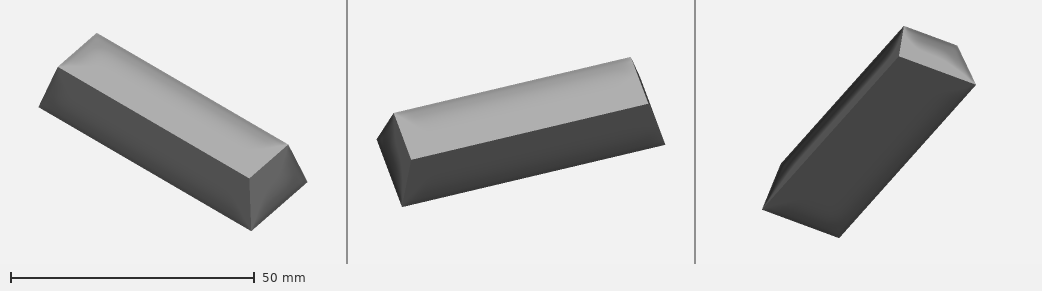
import cadquery as cq

base_length = 56.4
base_width = 18.3
height = 11.4
side_inset = 2.8

top_length = base_length - 2 * side_inset
top_width = base_width - 2 * side_inset

result = (
    cq.Workplane("XY")
    .rect(base_length, base_width)
    .workplane(offset=height)
    .rect(top_length, top_width)
    .loft(ruled=True, combine=True)
)